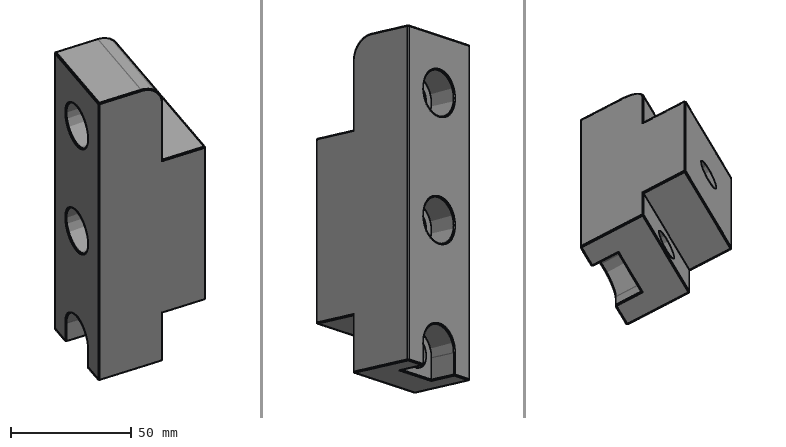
import cadquery as cq

width = 40.0
height = 145.0
depth = 50.0
plate_depth = 30.0

block_bottom = 25.0
block_top = 105.0

edge_chamfer = 0.5
top_round = 10.0

lowest_hole_z = 10.0
hole_pitch = 55.0
hole_count = 3
hole_diameter = 13.0
mouth_diameter = 20.7
bore_diameter = mouth_diameter - 2 * edge_chamfer
bore_depth = 12.5


def make_body():
    """Plate with a rear block and a rounded top rear edge."""
    plate = cq.Workplane("XY").box(width, plate_depth, height, centered=(True, False, False))
    block = (
        cq.Workplane("XY", origin=(0, 0, block_bottom))
        .box(width, depth, block_top - block_bottom, centered=(True, False, False))
    )
    top_rear_edge = cq.selectors.NearestToPointSelector((0, plate_depth, height))
    return plate.union(block).edges(top_rear_edge).fillet(top_round)


def make_bore(z):
    """Counterbore entering from the front face."""
    return cq.Workplane("XZ", origin=(0, 0, z)).circle(bore_diameter / 2).extrude(-bore_depth)


def make_through_hole(z):
    """Bolt hole through the full depth."""
    return cq.Workplane("XZ", origin=(0, 0, z)).circle(hole_diameter / 2).extrude(-depth)


def make_foot_slot():
    """Slot that opens the lowest counterbore through the foot."""
    return (
        cq.Workplane("XY")
        .box(bore_diameter, bore_depth, lowest_hole_z, centered=(True, False, False))
    )


hole_heights = [lowest_hole_z + index * hole_pitch for index in range(hole_count)]

result = make_body().cut(make_foot_slot())
for hole_z in hole_heights:
    result = result.cut(make_bore(hole_z))

result = result.faces("<X or >X or <Y or >Y or <Z").edges().chamfer(edge_chamfer)

for hole_z in hole_heights:
    result = result.cut(make_through_hole(hole_z))